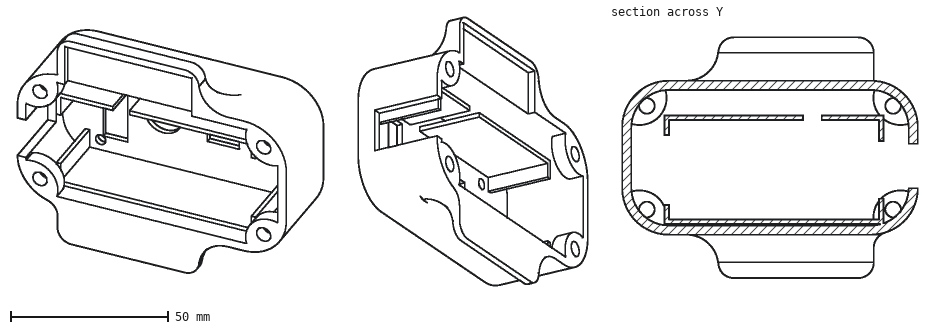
import cadquery as cq
import math

length = 94.0
height = 49.0
depth = 30.0
corner_radius = 14.85
wall = 3.0
floor_thickness = 2.0
back_edge_radius = 2.0
half_length = length / 2
half_height = height / 2
floor_y = depth - floor_thickness

overall_height = 76.5
tab_left = -33.0
tab_right = 16.45
tab_corner_radius = 5.0
flare_radius = 10.0
upper_tab_thickness = 5.0
lower_tab_thickness = upper_tab_thickness / 2
tab_top = overall_height / 2
tab_corner_start = tab_top - tab_corner_radius

recess_margin = upper_tab_thickness / 2
recess_depth = upper_tab_thickness / 2

boss_x = 41.5
boss_z = 19.0
boss_radius = 8.65
boss_depth = 5.0
screw_x = 39.1
screw_z = 16.45
screw_diameter = 4.9

rail_front_y = 6.0
rail_thickness = 1.5
board_left = -34.6
board_right = 32.1
board_bottom = -19.55
board_top = 11.9
rail_gap = (-16.4, -10.5)
upper_left_rail_end = 5.3
upper_right_rail_end = 7.1
lower_left_rail_end = -13.0
lower_right_rail_end = -14.9

window_bottom = -9.7
window_top = 4.4
window_depth = 23.0
slot_left, slot_right = -29.9, -21.3
slot_bottom, slot_top = -14.1, 10.2
square_size = 11.1
square_center = (12.1, -0.8)
round_diameter = 13.0
round_center = (-8.7, -0.75)
pin_diameter = 3.5
pin_centers = [(28.1, 8.2), (-30.7, -15.8)]


def box(x_range, y_range, z_range):
    """Box between the given low and high limits."""
    lows, highs = zip(x_range, y_range, z_range)
    size = [high - low for low, high in zip(lows, highs)]
    return cq.Workplane("XY").box(*size, centered=False).translate(lows)


def cylinder(x, z, diameter, y_start, y_end):
    """Cylinder along Y."""
    sketch = cq.Workplane("XZ", origin=(x, y_start, z)).circle(diameter / 2)
    return sketch.extrude(y_start - y_end)


def rounded_block(x_size, z_size, y_size, radius):
    """Block from Y = 0 with rounded edges along Y."""
    block = cq.Workplane("XZ").rect(x_size, z_size).extrude(-y_size)
    return block.edges("|Y").fillet(radius)


def add_flare(profile, face):
    """Draw the concave flare from the body up to the tab face, then stop at the corner start."""
    center_u = face + flare_radius
    center_v = half_height + flare_radius
    end_angle = math.pi + math.asin((center_v - tab_corner_start) / flare_radius)
    mid_angle = (end_angle + 1.5 * math.pi) / 2
    points = [
        (center_u + flare_radius * math.cos(angle), center_v + flare_radius * math.sin(angle))
        for angle in (mid_angle, end_angle)
    ]
    return profile.threePointArc(*points).lineTo(face, tab_corner_start)


def make_tab(thickness, left_fillet):
    """Upward tab: its front outline crossed with its side outline, so the flares meet in a mitre."""
    root_z = half_height - corner_radius
    corner_x = -half_length + corner_radius
    diagonal = tab_corner_radius * math.sqrt(0.5)

    front = cq.Workplane("XZ").moveTo(tab_right + flare_radius, root_z)
    front = front.lineTo(tab_right + flare_radius, half_height)
    front = add_flare(front, tab_right)
    front = front.threePointArc(
        (tab_right - tab_corner_radius + diagonal, tab_corner_start + diagonal),
        (tab_right - tab_corner_radius, tab_top),
    ).lineTo(tab_left + tab_corner_radius, tab_top)
    front = front.threePointArc(
        (tab_left + tab_corner_radius - diagonal, tab_corner_start + diagonal),
        (tab_left, tab_corner_start),
    )
    if left_fillet:
        center_x = tab_left - left_fillet
        reach = corner_radius + left_fillet
        center_z = root_z + math.sqrt(reach**2 - (corner_x - center_x) ** 2)
        end_angle = math.atan2(root_z - center_z, corner_x - center_x)
        mid_angle = end_angle / 2
        front = front.lineTo(tab_left, center_z).threePointArc(
            (center_x + left_fillet * math.cos(mid_angle), center_z + left_fillet * math.sin(mid_angle)),
            (center_x + left_fillet * math.cos(end_angle), center_z + left_fillet * math.sin(end_angle)),
        ).lineTo(corner_x, root_z)
    else:
        front = front.lineTo(tab_left, root_z)
    front = front.close().extrude(-depth)

    side = cq.Workplane("YZ", origin=(-half_length, 0, 0)).moveTo(0, root_z)
    side = side.lineTo(thickness + flare_radius, root_z).lineTo(thickness + flare_radius, half_height)
    side = add_flare(side, thickness)
    side = side.lineTo(thickness, tab_top).lineTo(0, tab_top).close().extrude(length)
    return front.intersect(side)


def make_rails():
    """Rails around the board, with a gap in the top run."""
    left = (board_left - rail_thickness, board_left)
    right = (board_right, board_right + rail_thickness)
    bottom = (board_bottom - rail_thickness, board_bottom)
    top = (board_top, board_top + rail_thickness)
    runs = [
        ((left[0], rail_gap[0]), top),
        ((rail_gap[1], right[1]), top),
        ((left[0], right[1]), bottom),
        (left, (upper_left_rail_end, top[1])),
        (right, (upper_right_rail_end, top[1])),
        (left, (bottom[0], lower_left_rail_end)),
        (right, (bottom[0], lower_right_rail_end)),
    ]
    rails = cq.Workplane("XY")
    for x_range, z_range in runs:
        rails = rails.union(box(x_range, (rail_front_y, depth - floor_thickness / 2), z_range))
    return rails


body = rounded_block(length, height, depth, corner_radius)
body = body.faces(">Y").edges().fillet(back_edge_radius)
outer = body.union(make_tab(upper_tab_thickness, 0))
outer = outer.union(make_tab(lower_tab_thickness, tab_corner_radius).mirror("XY"))

cavity = rounded_block(length - 2 * wall, height - 2 * wall, floor_y, corner_radius - wall)
recess = box(
    (tab_left + recess_margin, tab_right - recess_margin),
    (0, recess_depth),
    (0, tab_top - recess_margin),
)
result = outer.cut(cavity).cut(recess).union(make_rails())

for x_side in (-1, 1):
    for z_side in (-1, 1):
        boss = cylinder(x_side * boss_x, z_side * boss_z, 2 * boss_radius, 0, boss_depth)
        screw = cylinder(x_side * screw_x, z_side * screw_z, screw_diameter, 0, boss_depth)
        result = result.union(boss.intersect(body)).cut(screw)

result = result.cut(box((-half_length, -half_length + wall), (0, window_depth), (window_bottom, window_top)))

through = (floor_y, depth)
square_x, square_z = square_center
half_square = square_size / 2
result = result.cut(box((slot_left, slot_right), through, (slot_bottom, slot_top)))
result = result.cut(
    box(
        (square_x - half_square, square_x + half_square),
        through,
        (square_z - half_square, square_z + half_square),
    )
)
result = result.cut(cylinder(*round_center, round_diameter, *through))
for pin_x, pin_z in pin_centers:
    result = result.cut(cylinder(pin_x, pin_z, pin_diameter, *through))